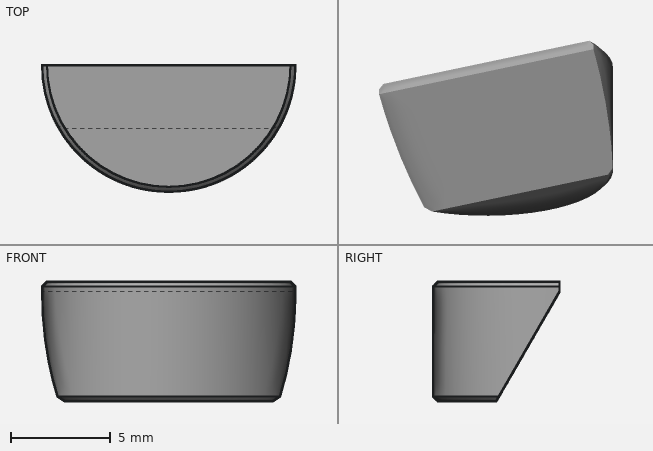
import cadquery as cq
import math

diameter = 12.7
height = 6.0
chamfer = 0.25
flat_height = 0.5
slant_angle = 30.0

radius = diameter / 2
slant_top = height - flat_height
slant_run = slant_top * math.tan(math.radians(slant_angle))


def chamfered_disc():
    """Full round disc with both rims chamfered, standing on Z = 0."""
    return cq.Workplane("XY").circle(radius).extrude(height).faces("<Z or >Z").edges().chamfer(chamfer)


def kept_section():
    """Prism along X covering the front half, bounded by the flat and the sloped back."""
    outline = [
        (-radius, 0),
        (-slant_run, 0),
        (0, slant_top),
        (0, height),
        (-radius, height),
    ]
    return cq.Workplane("YZ").polyline(outline).close().extrude(radius, both=True)


result = chamfered_disc().intersect(kept_section())